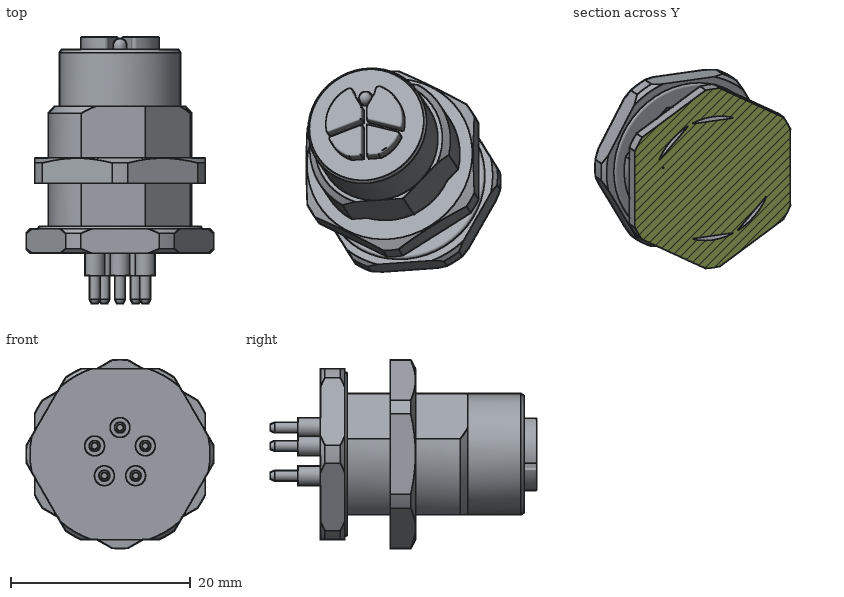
import cadquery as cq
import math


HEX_SIDES = 6
HEX_ACROSS_FLATS = 19.0

FLANGE_DIAMETER = 20.89
FLANGE_FACE_RADIUS = 10.0
FLANGE_THICKNESS = 2.7
FLANGE_CHAMFER_LENGTH = 0.5

COLLAR_RADIUS = 9.12
COLLAR_HEIGHT = 0.3

BODY_RADIUS = 8.0
BODY_END = 16.35
BODY_CHAMFER_RADIAL = 0.75
BODY_CHAMFER_LENGTH = 0.8
BODY_FLAT_SPACING = 13.5
BODY_FLAT_TILTS = (0, 45)

NUT_START = 7.75
NUT_THICKNESS = 2.85
NUT_DIAMETER = 21.0
NUT_FACE_RADIUS = 9.4
NUT_CHAMFER_LENGTH = 0.57
NUT_BORE_RADIUS = 7.19
NUT_TURN = 180 / HEX_SIDES

BARREL_RADIUS = BODY_FLAT_SPACING / 2
BARREL_END = 22.65
BARREL_CHAMFER_RADIAL = 0.25
BARREL_CHAMFER_LENGTH = 0.37

INSERT_RADIUS = 4.37
INSERT_END = 24.05
INSERT_FLAT_Z = -4.04
INSERT_RIM_RADIUS = 0.18
SLIT_WIDTH = 0.54
SIDE_SLIT_ANGLES = (198, 342)
BOTTOM_SLIT_ANGLE = 270
SLIT_LIP_RADIUS = 0.22

POCKET_APEX_Z = 1.2
POCKET_WALL_ANGLE = math.radians(60)
POCKET_WALL_HALF_WIDTH = 1.2
POCKET_MOUTH_HALF_WIDTH = 1.47
POCKET_LIP_RADIUS = 0.4

FRONT_PIN_RADIUS = 1.5 / 2
FRONT_PIN_TIP = 23.87

TAIL_COUNT = 5
TAIL_PITCH_RADIUS = 2.96
SLEEVE_RADIUS = 2.2 / 2
SLEEVE_LENGTH = 2.5
TAIL_RADIUS = 1.2 / 2
TAIL_LENGTH = 5.6
TAIL_TIP_RADIUS = 0.36
TAIL_TIP_LENGTH = 0.5


def turned(points):
    """Solid of revolution about Y from (radius, y) points; the axis closes it."""
    outline = [(0, points[0][1])] + points + [(0, points[-1][1])]
    return cq.Workplane("XY").polyline(outline).close().revolve(360, (0, 0), (0, 1))


def section_plane(y):
    """Plane across the connector axis at y, with local axes X and Z."""
    return cq.Workplane("XZ", origin=(0, y, 0))


def hex_prism(start, length, turn=0):
    """Hexagonal prism along +Y, with flats facing up and down when turn is 0."""
    corner_diameter = HEX_ACROSS_FLATS / math.cos(math.pi / HEX_SIDES)
    prism = section_plane(start).polygon(HEX_SIDES, corner_diameter).extrude(-length)
    return prism.rotate((0, 0, 0), (0, 1, 0), turn)


def make_flange():
    """Hexagonal flange chamfered on both faces, with its front collar."""
    rim = FLANGE_DIAMETER / 2
    envelope = turned([
        (FLANGE_FACE_RADIUS, 0),
        (rim, FLANGE_CHAMFER_LENGTH),
        (rim, FLANGE_THICKNESS - FLANGE_CHAMFER_LENGTH),
        (FLANGE_FACE_RADIUS, FLANGE_THICKNESS),
    ])
    collar_top = FLANGE_THICKNESS + COLLAR_HEIGHT
    shoulder = COLLAR_RADIUS - COLLAR_HEIGHT
    profile = cq.Workplane("XY").lineTo(COLLAR_RADIUS, 0)
    profile = profile.lineTo(COLLAR_RADIUS, FLANGE_THICKNESS)
    profile = profile.radiusArc((shoulder, collar_top), -COLLAR_HEIGHT)
    collar = profile.lineTo(0, collar_top).close().revolve(360, (0, 0), (0, 1))
    return hex_prism(0, FLANGE_THICKNESS).intersect(envelope).union(collar)


def make_body():
    """Cylinder chamfered at its front end and trimmed by the opposed flats."""
    body = turned([
        (BODY_RADIUS, 0),
        (BODY_RADIUS, BODY_END - BODY_CHAMFER_LENGTH),
        (BODY_RADIUS - BODY_CHAMFER_RADIAL, BODY_END),
    ])
    for tilt in BODY_FLAT_TILTS:
        slab = section_plane(0).rect(3 * BODY_RADIUS, BODY_FLAT_SPACING).extrude(-BODY_END)
        body = body.intersect(slab.rotate((0, 0, 0), (0, 1, 0), tilt))
    return body


def make_nut():
    """Nut whose round bore leaves gaps over the flats of the body."""
    rim = NUT_DIAMETER / 2
    nut_end = NUT_START + NUT_THICKNESS
    envelope = turned([
        (rim, NUT_START),
        (rim, nut_end - NUT_CHAMFER_LENGTH),
        (NUT_FACE_RADIUS, nut_end),
    ])
    bore = section_plane(NUT_START).circle(NUT_BORE_RADIUS).extrude(-NUT_THICKNESS)
    return hex_prism(NUT_START, NUT_THICKNESS, NUT_TURN).intersect(envelope).cut(bore)


def make_barrel():
    return turned([
        (BARREL_RADIUS, BODY_END),
        (BARREL_RADIUS, BARREL_END - BARREL_CHAMFER_LENGTH),
        (BARREL_RADIUS - BARREL_CHAMFER_RADIAL, BARREL_END),
    ])


def make_insert():
    """Insert with a bottom flat, a top pocket and three slits meeting at the centre."""
    length = INSERT_END - BARREL_END
    insert = section_plane(BARREL_END).circle(INSERT_RADIUS).extrude(-length)

    below_flat = section_plane(BARREL_END).center(0, INSERT_FLAT_Z - INSERT_RADIUS)
    insert = insert.cut(below_flat.rect(2 * INSERT_RADIUS, 2 * INSERT_RADIUS).extrude(-length))

    wall_top = POCKET_APEX_Z + POCKET_WALL_HALF_WIDTH * math.tan(POCKET_WALL_ANGLE)
    pocket = section_plane(BARREL_END).polyline([
        (0, POCKET_APEX_Z),
        (POCKET_WALL_HALF_WIDTH, wall_top),
        (POCKET_MOUTH_HALF_WIDTH, INSERT_RADIUS),
        (-POCKET_MOUTH_HALF_WIDTH, INSERT_RADIUS),
        (-POCKET_WALL_HALF_WIDTH, wall_top),
    ]).close().extrude(-length)
    insert = insert.cut(pocket)

    for angle in (*SIDE_SLIT_ANGLES, BOTTOM_SLIT_ANGLE):
        slit = section_plane(BARREL_END).center(INSERT_RADIUS / 2, 0)
        slit = slit.rect(INSERT_RADIUS, SLIT_WIDTH).extrude(-length)
        insert = insert.cut(slit.rotate((0, 0, 0), (0, 1, 0), -angle))
    link_height = POCKET_APEX_Z + SLIT_WIDTH
    link = section_plane(BARREL_END).center(0, link_height / 2)
    return insert.cut(link.rect(SLIT_WIDTH, link_height).extrude(-length))


def fillet_lip(insert, x, z, radius):
    """Round the lengthwise edge of the insert that passes through (x, z)."""
    middle = (x, (BARREL_END + INSERT_END) / 2, z)
    lip = cq.selectors.NearestToPointSelector(middle)
    return insert.edges("|Y").edges(lip).fillet(radius)


def round_insert(insert):
    """Round the pocket and side slit lips, then the edges of the front face."""
    mouth_z = math.sqrt(INSERT_RADIUS**2 - POCKET_MOUTH_HALF_WIDTH**2)
    for x in (-POCKET_MOUTH_HALF_WIDTH, POCKET_MOUTH_HALF_WIDTH):
        insert = fillet_lip(insert, x, mouth_z, POCKET_LIP_RADIUS)

    half_slit_angle = math.asin(SLIT_WIDTH / 2 / INSERT_RADIUS)
    for slit_angle in SIDE_SLIT_ANGLES:
        for offset in (-half_slit_angle, half_slit_angle):
            angle = math.radians(slit_angle) + offset
            x = INSERT_RADIUS * math.cos(angle)
            z = INSERT_RADIUS * math.sin(angle)
            insert = fillet_lip(insert, x, z, SLIT_LIP_RADIUS)
    return insert.faces(">Y").edges().fillet(INSERT_RIM_RADIUS)


def make_front_pin():
    shoulder = FRONT_PIN_TIP - FRONT_PIN_RADIUS
    profile = cq.Workplane("XY").moveTo(0, BARREL_END).lineTo(FRONT_PIN_RADIUS, BARREL_END)
    profile = profile.lineTo(FRONT_PIN_RADIUS, shoulder)
    profile = profile.radiusArc((0, FRONT_PIN_TIP), -FRONT_PIN_RADIUS).close()
    pin = profile.revolve(360, (0, 0), (0, 1))
    return pin.translate((0, 0, TAIL_PITCH_RADIUS))


def make_tail():
    return turned([
        (TAIL_TIP_RADIUS, -TAIL_LENGTH),
        (TAIL_RADIUS, TAIL_TIP_LENGTH - TAIL_LENGTH),
        (TAIL_RADIUS, -SLEEVE_LENGTH),
        (SLEEVE_RADIUS, -SLEEVE_LENGTH),
        (SLEEVE_RADIUS, 0),
    ])


result = make_flange().union(make_body()).union(make_nut()).union(make_barrel())
result = result.union(round_insert(make_insert())).union(make_front_pin())
tail = make_tail().translate((0, 0, TAIL_PITCH_RADIUS))
for index in range(TAIL_COUNT):
    result = result.union(tail.rotate((0, 0, 0), (0, 1, 0), index * 360 / TAIL_COUNT))